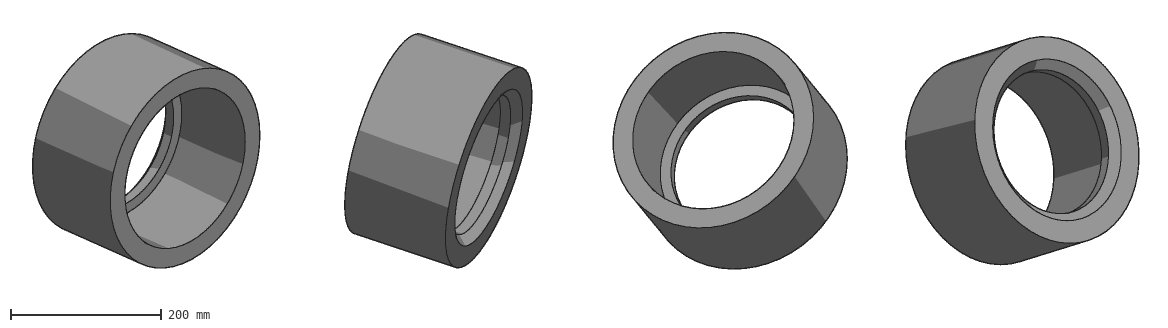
import cadquery as cq

outer_diameter = 280.0
length = 147.0

land_diameter = 195.0
lead_in_size = 12.0
land_length = 15.0

main_bore_diameter = 225.0

half_length = length / 2
land_start = -half_length + lead_in_size
land_end = land_start + land_length

outer_radius = outer_diameter / 2
land_radius = land_diameter / 2
mouth_radius = land_radius + lead_in_size
main_bore_radius = main_bore_diameter / 2


def ring():
    """Half section (axial position, radius) revolved about the X axis."""
    section = (
        cq.Workplane("XY")
        .moveTo(-half_length, outer_radius)
        .lineTo(half_length, outer_radius)
        .lineTo(half_length, main_bore_radius)
        .lineTo(land_end, main_bore_radius)
        .lineTo(land_end, land_radius)
        .lineTo(land_start, land_radius)
        .lineTo(-half_length, mouth_radius)
        .close()
    )
    return section.revolve(360, (0, 0, 0), (1, 0, 0))


result = ring()